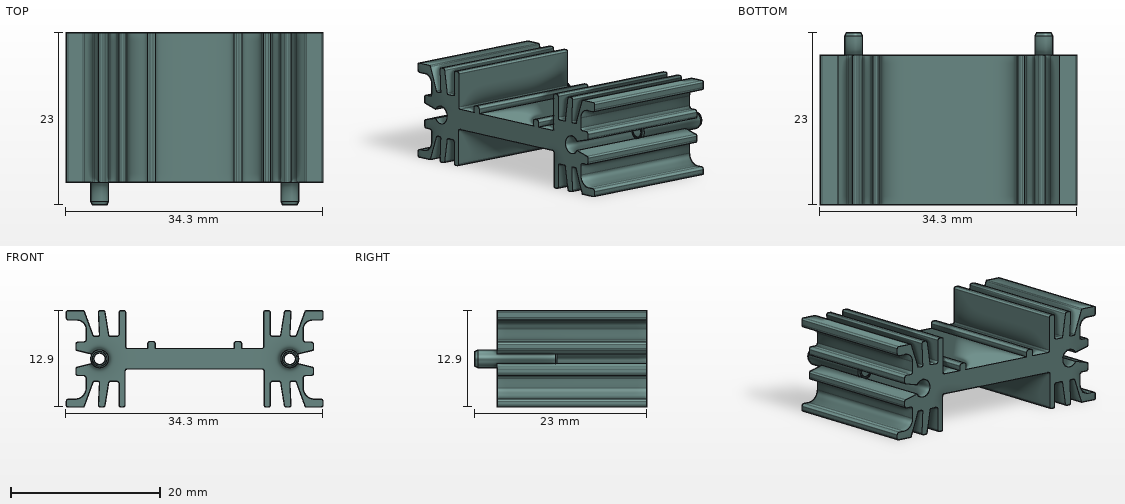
import cadquery as cq
import math


length = 20.0
half_width = 17.16
half_height = 6.435
web_half_thickness = 1.38

pin_x = 12.7
pin_diameter = 2.4
pin_bore = 1.5
pin_protrusion = 3.0
pin_insertion = 8.0
pin_tip_chamfer_length = 0.45
pin_tip_chamfer_depth = 0.22
pin_rear_chamfer = 0.22

inner_fin_outer_x = 10.1
floor_z = 3.015
middle_fin_root_inner_x = 11.45
middle_fin_tip_inner_x = 12.0
middle_fin_root_outer_x = 12.72
middle_fin_tip_outer_x = 12.88
arm_root_x = 13.53
arm_tip_x = 14.77
channel_wall_x = 14.5

lug_x = 15.88
lug_outer_z = 2.25
lug_inner_z = 1.15
mouth_half_height = 0.62
mouth_x = pin_x + math.sqrt((pin_diameter / 2) ** 2 - mouth_half_height**2)

upper_arm_thickness = 1.28
lower_arm_thickness = 1.06
upper_channel_radius = 1.2
lower_channel_radius = 1.5
upper_inner_fin_x = 9.2
lower_inner_fin_x = 9.28
upper_arm_corner_radius = 0.2
lower_arm_corner_radius = 0.0

tip_radius = 0.25
floor_radius = 0.2
inner_floor_radius = 0.3
web_radius = 0.25
edge_radius = 0.35

ridge_x = 5.77
ridge_width = 1.04
ridge_height = 0.95
ridge_radius = 0.35


def rounded_outline(corners):
    """Closed XZ outline from (x, z, radius) corners; a zero radius leaves the corner sharp."""
    outline = None
    for index, (x, z, radius) in enumerate(corners):
        corner = cq.Vector(x, z)
        before = cq.Vector(*corners[index - 1][:2])
        after = cq.Vector(*corners[(index + 1) % len(corners)][:2])
        to_before = (before - corner).normalized()
        to_after = (after - corner).normalized()
        half_angle = to_before.getAngle(to_after) / 2
        setback = radius / math.tan(half_angle)
        start = corner + to_before * setback
        end = corner + to_after * setback
        if outline is None:
            outline = cq.Workplane("XZ", origin=(0, length / 2, 0)).moveTo(start.x, start.y)
        else:
            outline = outline.lineTo(start.x, start.y)
        if radius > 0:
            bisector = (to_before + to_after).normalized()
            middle = corner + bisector * (radius / math.sin(half_angle) - radius)
            outline = outline.threePointArc((middle.x, middle.y), (end.x, end.y))
    return outline.close()


def fin_corners(arm_thickness, channel_radius, inner_fin_x, arm_corner_radius):
    """Corners of one quarter of the profile (x, z > 0), from the web centre out to the slot mouth."""
    arm_inner_z = half_height - arm_thickness
    return [
        (0, web_half_thickness, 0),
        (inner_fin_x, web_half_thickness, web_radius),
        (inner_fin_x, half_height, tip_radius),
        (inner_fin_outer_x, half_height, tip_radius),
        (inner_fin_outer_x, floor_z, inner_floor_radius),
        (middle_fin_root_inner_x, floor_z, floor_radius),
        (middle_fin_tip_inner_x, half_height, tip_radius),
        (middle_fin_tip_outer_x, half_height, tip_radius),
        (middle_fin_root_outer_x, floor_z, floor_radius),
        (arm_root_x, floor_z, floor_radius),
        (arm_tip_x, half_height, arm_corner_radius),
        (half_width, half_height, tip_radius),
        (half_width, arm_inner_z, edge_radius),
        (channel_wall_x, arm_inner_z, channel_radius),
        (channel_wall_x, lug_outer_z, edge_radius),
        (lug_x, lug_outer_z, edge_radius),
        (lug_x, lug_inner_z, tip_radius),
        (mouth_x, mouth_half_height, 0),
    ]


def make_half_profile():
    """The half of the extrusion on the +X side, without its ridge and pin groove."""
    upper = fin_corners(
        upper_arm_thickness,
        upper_channel_radius,
        upper_inner_fin_x,
        upper_arm_corner_radius,
    )
    lower = fin_corners(
        lower_arm_thickness,
        lower_channel_radius,
        lower_inner_fin_x,
        lower_arm_corner_radius,
    )
    lower_mirrored = [(x, -z, radius) for x, z, radius in reversed(lower)]
    return rounded_outline(upper + lower_mirrored).extrude(length)


def make_ridge():
    """Ridge with a rounded top, standing on the web on the +X side."""
    return (
        cq.Workplane("XY", origin=(ridge_x, 0, 0))
        .rect(ridge_width, length)
        .extrude(web_half_thickness + ridge_height)
        .edges("|Y and >Z")
        .fillet(ridge_radius)
    )


def make_pin_groove():
    """Round groove along the full length that holds the +X pin."""
    return (
        cq.Workplane("XZ", origin=(pin_x, length / 2, 0))
        .circle(pin_diameter / 2)
        .extrude(length)
    )


def make_heatsink():
    half = make_half_profile().union(make_ridge()).cut(make_pin_groove())
    return half.union(half.mirror("YZ"))


def make_pin(x):
    """Hollow pin along Y, chamfered at both ends and standing out of the -Y face."""
    pin_length = pin_insertion + pin_protrusion
    return (
        cq.Workplane("XZ", origin=(x, pin_insertion - length / 2, 0))
        .circle(pin_diameter / 2)
        .extrude(pin_length)
        .faces(">Y")
        .chamfer(pin_rear_chamfer)
        .faces("<Y")
        .chamfer(pin_tip_chamfer_length, pin_tip_chamfer_depth)
        .faces("<Y")
        .workplane()
        .hole(pin_bore)
    )


heatsink = make_heatsink()
pins = [make_pin(side * pin_x) for side in (-1, 1)]

result = cq.Compound.makeCompound([heatsink.val(), *[pin.val() for pin in pins]])